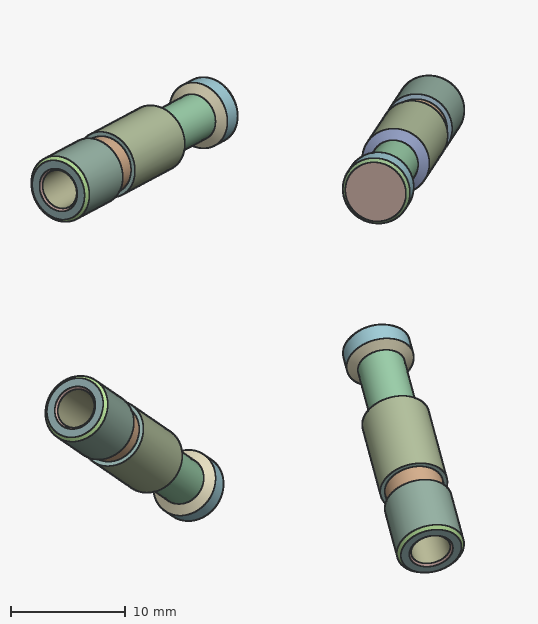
import cadquery as cq
import math

length = 25.0
body_radius = 3.0
end_chamfer = 0.3

groove_start = 5.8
groove_end = 7.8
shoulder_end = 16.0
head_start = 23.0

groove_radius = 2.6
neck_radius = 2.1

neck_cone_angle = math.radians(30)
neck_cone_length = (body_radius - neck_radius) * math.tan(neck_cone_angle)

groove_cone_length = 0.19

hole_radius = 1.75
hole_depth = 10.0
hole_chamfer = 0.2
drill_point_angle = math.radians(135)
drill_point_length = hole_radius / math.tan(drill_point_angle / 2)


def revolve_about_y(points):
    """Turn a closed (radius, axial position) outline about the Y axis."""
    outline = cq.Workplane("XY").polyline(points).close()
    return outline.revolve(360, (0, 0, 0), (0, 1, 0))


def make_body():
    return revolve_about_y([
        (0, 0),
        (body_radius - end_chamfer, 0),
        (body_radius, end_chamfer),
        (body_radius, groove_start),
        (groove_radius, groove_start + groove_cone_length),
        (groove_radius, groove_end),
        (body_radius, groove_end),
        (body_radius, shoulder_end),
        (neck_radius, shoulder_end + neck_cone_length),
        (neck_radius, head_start - neck_cone_length),
        (body_radius, head_start),
        (body_radius, length - end_chamfer),
        (body_radius - end_chamfer, length),
        (0, length),
    ])


def make_hole():
    return revolve_about_y([
        (0, 0),
        (hole_radius + hole_chamfer, 0),
        (hole_radius, hole_chamfer),
        (hole_radius, hole_depth),
        (0, hole_depth + drill_point_length),
    ])


plug = make_body().cut(make_hole())
result = plug.translate((0, -length / 2, 0))